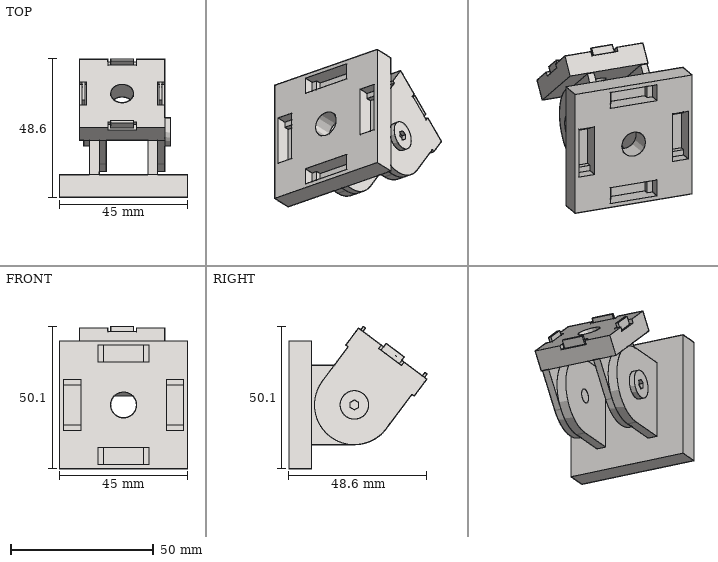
import cadquery as cq
import math


tilt_angle = 36.75
lug_radius = 14.0
pivot_to_plate = 15.0

base_size = 45.0
base_thickness = 8.0
base_hole_diameter = 9.0
base_face_y = -(pivot_to_plate + base_thickness)

pocket_length = 18.0
pocket_width = 6.0
pocket_depth = 6.0
pocket_edge_margin = 1.5
pocket_step = 2.0
pocket_radius = base_size / 2 - pocket_edge_margin - pocket_width / 2

base_lug_thickness = 3.5
head_lug_thickness = 2.5
base_lug_starts = (-12.0, 8.5)
head_lug_starts = [start + base_lug_thickness for start in base_lug_starts]

head_size = 30.0
head_thickness = 7.5
head_center_x = head_lug_starts[1] + head_lug_thickness - head_size / 2
head_hole_diameter = 8.0
head_top_z = pivot_to_plate + head_thickness

notch_length = 10.0
notch_width = 2.5
notch_depth = 1.5
tab_length = 8.0
tab_thickness = 1.0
tab_height = 3.0
tab_edge_margin = 1.0
notch_radius = head_size / 2 - notch_width / 2
tab_radius = head_size / 2 - tab_edge_margin - tab_thickness / 2

pin_diameter = 5.0
pin_head_diameter = 10.0
pin_head_thickness = 2.0
hex_across_flats = 3.0
hex_depth = 1.5
hex_across_corners = hex_across_flats / math.cos(math.radians(30))
pin_shank_length = base_lug_thickness + head_lug_thickness

QUARTER_TURNS = (0, 90, 180, 270)


def box(length, width, height):
    """Box centred in X and Y, standing on Z = 0."""
    return cq.Workplane("XY").box(length, width, height, centered=(True, True, False))


def make_lug(start_x, thickness):
    """Round-ended lug rising from the pivot to Z = pivot_to_plate, with its pin hole."""
    return (
        cq.Workplane("YZ", origin=(start_x, 0, 0))
        .moveTo(-lug_radius, pivot_to_plate)
        .lineTo(-lug_radius, 0)
        .threePointArc((0, -lug_radius), (lug_radius, 0))
        .lineTo(lug_radius, pivot_to_plate)
        .close()
        .extrude(thickness)
        .cut(cq.Workplane("YZ", origin=(start_x, 0, 0)).circle(pin_diameter / 2).extrude(thickness))
    )


def make_pocket():
    """Cutter for one pocket, opening at Z = 0, with a shorter deepest part."""
    mouth_depth = pocket_depth - pocket_step
    mouth = box(pocket_length, pocket_width, mouth_depth).translate((0, 0, -mouth_depth))
    floor_length = pocket_length - 2 * pocket_step
    floor = box(floor_length, pocket_width, pocket_depth).translate((0, 0, -pocket_depth))
    return mouth.union(floor).translate((0, pocket_radius, 0))


def make_base():
    """Base plate with pockets and lugs; the plate stands upright, facing -Y."""
    plate = box(base_size, base_size, base_thickness).translate((0, 0, -base_thickness))
    plate = plate.faces(">Z").workplane(origin=(0, 0, 0)).hole(base_hole_diameter)
    pocket = make_pocket()
    for turn in QUARTER_TURNS:
        plate = plate.cut(pocket.rotate((0, 0, 0), (0, 0, 1), turn))
    body = plate.rotate((0, 0, 0), (1, 0, 0), 90).translate((0, base_face_y, 0))
    for start_x in base_lug_starts:
        lug = make_lug(start_x, base_lug_thickness)
        body = body.union(lug.rotate((0, 0, 0), (1, 0, 0), 90))
    return body


def make_head():
    """Head plate with notches, tabs and lugs, built level and then tilted about the pivot."""
    plate = box(head_size, head_size, head_thickness).translate((0, 0, -head_thickness))
    plate = plate.faces(">Z").workplane(origin=(0, 0, 0)).hole(head_hole_diameter)
    notch = box(notch_length, notch_width, notch_depth).translate((0, notch_radius, -notch_depth))
    tab = box(tab_length, tab_thickness, tab_height).translate((0, tab_radius, -notch_depth))
    for turn in QUARTER_TURNS:
        plate = plate.cut(notch.rotate((0, 0, 0), (0, 0, 1), turn))
        plate = plate.union(tab.rotate((0, 0, 0), (0, 0, 1), turn))
    body = plate.translate((head_center_x, 0, head_top_z))
    for start_x in head_lug_starts:
        body = body.union(make_lug(start_x, head_lug_thickness))
    return body.rotate((0, 0, 0), (1, 0, 0), -tilt_angle)


def make_pin(seat_x, outward):
    """Pin whose head seats at seat_x and points along outward (+1 or -1) in X."""
    pin_plane = cq.Plane(origin=(seat_x, 0, 0), xDir=(0, 0, 1), normal=(outward, 0, 0))
    pin = cq.Workplane(pin_plane).circle(pin_head_diameter / 2).extrude(pin_head_thickness)
    shank = cq.Workplane(pin_plane).circle(pin_diameter / 2).extrude(-pin_shank_length)
    socket = (
        cq.Workplane(pin_plane)
        .workplane(offset=pin_head_thickness)
        .polygon(6, hex_across_corners)
        .extrude(-hex_depth)
    )
    return pin.union(shank).cut(socket)


base = make_base()
head = make_head()

pin_seats = (
    (base_lug_starts[0], -1),
    (head_lug_starts[1] + head_lug_thickness, 1),
)
pins = [make_pin(seat_x, outward) for seat_x, outward in pin_seats]

result = cq.Compound.makeCompound([base.val(), head.val(), *[pin.val() for pin in pins]])